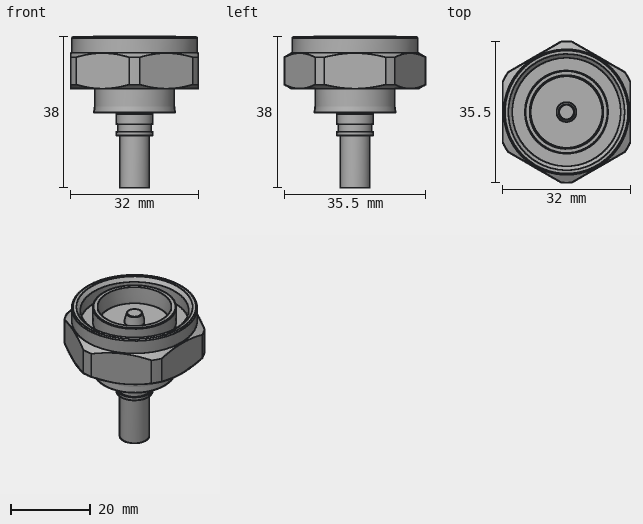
import cadquery as cq
import math

total_height = 38.0
rib_bottom = 13.0
rib_top = 14.02
groove_top = 16.0
neck_chamfer_bottom = 18.45
body_bottom = 18.77
flare_top = 20.45
hex_bottom = 24.9
hex_top = 33.9
collar_top = 37.9

tube_radius = 3.75
rib_radius = 4.6
groove_radius = 4.2
body_radius = 10.0
flare_radius = 10.22
collar_radius = 15.77
hex_across_flats = 32.0
hex_corner_radius = 17.75

rib_chamfer = 0.23
neck_chamfer = body_bottom - neck_chamfer_bottom
body_chamfer = 0.2
collar_chamfer = 0.35
sleeve_chamfer = 0.2
hex_chamfer_angle = 30.0

collar_bore_radius = 13.6
collar_bore_chamfer = 1.0
annular_floor = 33.35
sleeve_radius = 10.45
sleeve_bore_radius = 9.27
sleeve_floor = 33.45
sleeve_seat_radius = 8.95
sleeve_seat_height = 0.57
pin_radius = 2.5
pin_tip_radius = 1.82
pin_top = 36.18
pin_taper_bottom = 34.0
pin_tip_chamfer = 0.15


def revolve_profile(points):
    """Revolve a closed (radius, height) outline about the Z axis."""
    return cq.Workplane("XZ").polyline(points).close().revolve(360, (0, 0, 0), (0, 1, 0))


def cylinder(radius, bottom, top):
    return cq.Workplane("XY").workplane(offset=bottom).circle(radius).extrude(top - bottom)


def make_stem():
    """Tube, crimp rib, groove, neck and flared body below the nut."""
    return revolve_profile([
        (0, 0),
        (tube_radius, 0),
        (tube_radius, rib_bottom),
        (rib_radius - rib_chamfer, rib_bottom),
        (rib_radius, rib_bottom + rib_chamfer),
        (rib_radius, rib_top),
        (groove_radius, rib_top),
        (groove_radius, groove_top),
        (rib_radius, groove_top),
        (rib_radius, neck_chamfer_bottom),
        (rib_radius - neck_chamfer, body_bottom),
        (flare_radius - body_chamfer, body_bottom),
        (flare_radius, body_bottom + body_chamfer),
        (body_radius, flare_top),
        (body_radius, hex_bottom),
        (0, hex_bottom),
    ])


def make_hex():
    """Hexagon with two corners on the Y axis, rounded and chamfered at both ends.

    The upper chamfer starts at the collar; the lower one starts at the flats.
    """
    flat_radius = hex_across_flats / 2
    chamfer_slope = math.tan(math.radians(hex_chamfer_angle))
    lower_chamfer_height = (hex_corner_radius - flat_radius) * chamfer_slope
    upper_chamfer_height = (hex_corner_radius - collar_radius) * chamfer_slope
    prism = (
        cq.Workplane("XY")
        .workplane(offset=hex_bottom)
        .transformed(rotate=(0, 0, 90))
        .polygon(6, hex_across_flats / math.cos(math.pi / 6))
        .extrude(hex_top - hex_bottom)
    )
    envelope = revolve_profile([
        (0, hex_bottom),
        (flat_radius, hex_bottom),
        (hex_corner_radius, hex_bottom + lower_chamfer_height),
        (hex_corner_radius, hex_top - upper_chamfer_height),
        (collar_radius, hex_top),
        (0, hex_top),
    ])
    return prism.intersect(envelope)


def make_collar():
    """Round collar above the hexagon."""
    collar = cylinder(collar_radius, hex_top, collar_top)
    return collar.faces(">Z").edges().chamfer(collar_chamfer)


def make_collar_bore():
    """Chamfered bore sunk through the collar into the hexagon."""
    return revolve_profile([
        (0, annular_floor),
        (collar_bore_radius, annular_floor),
        (collar_bore_radius, collar_top - collar_bore_chamfer),
        (collar_bore_radius + collar_bore_chamfer, collar_top),
        (0, collar_top),
    ])


def make_sleeve():
    """Round sleeve standing in the middle of the collar bore."""
    sleeve = cylinder(sleeve_radius, annular_floor, total_height)
    return sleeve.faces(">Z").edges().chamfer(sleeve_chamfer)


def make_sleeve_bore():
    """Tapered cavity inside the sleeve, ending in a short straight seat."""
    return revolve_profile([
        (0, sleeve_floor),
        (sleeve_seat_radius, sleeve_floor),
        (sleeve_seat_radius, sleeve_floor + sleeve_seat_height),
        (sleeve_bore_radius, total_height),
        (0, total_height),
    ])


def make_pin():
    """Center contact with a tapered tip, standing on the sleeve floor."""
    return revolve_profile([
        (0, sleeve_floor),
        (pin_radius, sleeve_floor),
        (pin_radius, pin_taper_bottom),
        (pin_tip_radius + pin_tip_chamfer, pin_top - pin_tip_chamfer),
        (pin_tip_radius, pin_top),
        (0, pin_top),
    ])


nut = make_hex().union(make_collar()).cut(make_collar_bore())
shell = make_stem().union(nut).union(make_sleeve())
result = shell.cut(make_sleeve_bore()).union(make_pin())